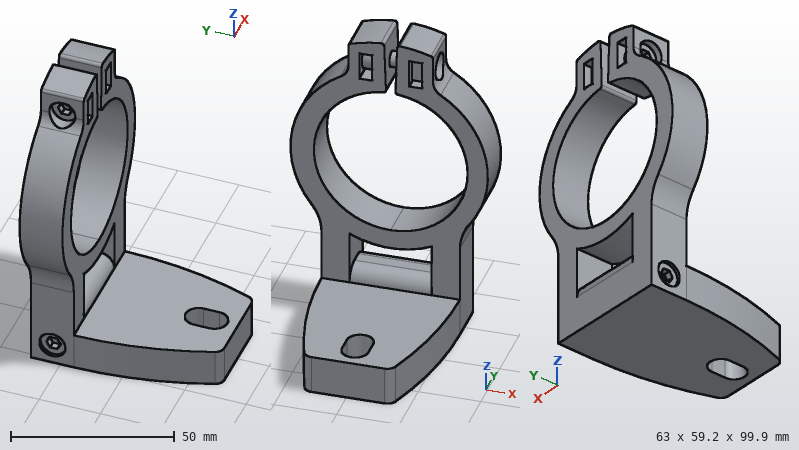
import cadquery as cq
import math


ring_depth = 14.0
ring_center_z = 58.0
bore_radius = 24.5
left_ring_radius = 32.0
right_ring_radius = 31.0

arm_half_width = 13.5
arm_top_radius = 42.0
arm_root_fillet = 5.0
arm_outer_fillet = 1.0
gap_corner_fillet = 1.0
gap_half_width = 1.75
gap_side_slope = math.tan(math.radians(2))

leg_half_span = 22.1
window_half_width = 13.1
leg_root_fillet = 15.0
knuckle_height = 17.5
plate_thickness = 12.5

plate_length = 45.21
plate_side_radius = 127.0
plate_corner_fillet = 3.0
slot_width = 8.4
slot_length = 13.6
slot_center_y = -35.0

screw_y = ring_depth / 2
clamp_screw_z = 90.5
hinge_screw_z = 6.75
screw_diameter = 5.0
head_diameter = 8.5
clamp_recess_depth = 2.5
hinge_recess_depth = 1.1
socket_across_flats = 4.0
socket_depth = 2.5

pocket_height = 9.0
pocket_inner_x = 5.9
pocket_outer_x = 10.0
pocket_width = pocket_outer_x - pocket_inner_x
pocket_center_x = (pocket_inner_x + pocket_outer_x) / 2
nut_size = 8.0


def ring_point(radius, angle):
    """Point (x, z) on a circle about the ring axis; the angle is in radians from +X."""
    return (radius * math.cos(angle), ring_center_z + radius * math.sin(angle))


def circle_height(radius, x):
    """Distance above the ring axis of a circle about that axis at a given x."""
    return math.sqrt(radius**2 - x**2)


def root_fillet(ring_radius, wall_x, radius, up):
    """Points along a fillet from a vertical wall to the ring, and the angle where it meets the ring.

    The points are its wall end, its middle and its ring end.
    `up` is 1 for a wall above the ring axis and -1 for one below it.
    """
    center_x = wall_x + radius
    rise = up * circle_height(ring_radius + radius, center_x)
    angle = math.atan2(rise, center_x)
    to_middle = math.pi + angle / 2
    center_z = ring_center_z + rise
    wall_end = (wall_x, center_z)
    middle = (center_x + radius * math.cos(to_middle), center_z + radius * math.sin(to_middle))
    return wall_end, middle, ring_point(ring_radius, angle), angle


def gap_side_x(z):
    """Half width of the clamping gap, which widens upwards."""
    return gap_half_width + gap_side_slope * (z - clamp_screw_z)


def clamp_half(ring_radius):
    """The +X half of the ring with its arm and leg."""
    gap_top_x = gap_side_x(ring_center_z + arm_top_radius)
    gap_top = (gap_top_x, ring_center_z + circle_height(arm_top_radius, gap_top_x))
    gap_bottom_x = gap_side_x(ring_center_z + bore_radius)
    gap_bottom = (gap_bottom_x, ring_center_z + circle_height(bore_radius, gap_bottom_x))

    arm_middle_x = arm_half_width / 2
    arm_top_middle = (arm_middle_x, ring_center_z + circle_height(arm_top_radius, arm_middle_x))
    arm_top_end = (arm_half_width, ring_center_z + circle_height(arm_top_radius, arm_half_width))

    arm_wall, arm_mid, arm_ring, arm_angle = root_fillet(ring_radius, arm_half_width, arm_root_fillet, 1)
    leg_wall, leg_mid, leg_ring, leg_angle = root_fillet(ring_radius, leg_half_span, leg_root_fillet, -1)
    ring_middle = ring_point(ring_radius, (arm_angle + leg_angle) / 2)

    window_top = (window_half_width, ring_center_z - circle_height(right_ring_radius, window_half_width))
    window_arc_x = window_half_width / 2
    window_arc = (window_arc_x, ring_center_z - circle_height(right_ring_radius, window_arc_x))

    half = (
        cq.Workplane("XZ")
        .moveTo(*gap_top)
        .threePointArc(arm_top_middle, arm_top_end)
        .lineTo(*arm_wall)
        .threePointArc(arm_mid, arm_ring)
        .threePointArc(ring_middle, leg_ring)
        .threePointArc(leg_mid, leg_wall)
        .lineTo(leg_half_span, 0)
        .lineTo(window_half_width, 0)
        .lineTo(*window_top)
        .threePointArc(window_arc, (0, ring_center_z - right_ring_radius))
        .lineTo(0, ring_center_z - bore_radius)
        .threePointArc((bore_radius, ring_center_z), gap_bottom)
        .close()
        .extrude(-ring_depth)
    )
    half = round_depth_edge(half, arm_top_end, arm_outer_fillet)
    half = round_depth_edge(half, gap_top, gap_corner_fillet)
    return round_depth_edge(half, gap_bottom, gap_corner_fillet)


def round_depth_edge(body, corner, radius):
    """Fillet the edge along Y that passes through the (x, z) corner."""
    nearest = cq.selectors.NearestToPointSelector((corner[0], ring_depth / 2, corner[1]))
    return body.edges("|Y").edges(nearest).fillet(radius)


def knuckle():
    """Block that fills the lower part of the window, with rounded upper edges."""
    return (
        cq.Workplane("XY")
        .box(2 * window_half_width, ring_depth, knuckle_height, centered=(True, False, False))
        .edges("|X and >Z")
        .fillet(knuckle_height - plate_thickness)
    )


def plate_half_width(y):
    """Half width of the plate, whose sides start tangent to the legs and curve inwards."""
    return leg_half_span - plate_side_radius + math.sqrt(plate_side_radius**2 - y**2)


def mounting_plate():
    end_x = plate_half_width(plate_length)
    middle_y = -plate_length / 2
    middle_x = plate_half_width(middle_y)
    plate = (
        cq.Workplane("XY")
        .moveTo(-leg_half_span, 0)
        .threePointArc((-middle_x, middle_y), (-end_x, -plate_length))
        .lineTo(end_x, -plate_length)
        .threePointArc((middle_x, middle_y), (leg_half_span, 0))
        .close()
        .extrude(plate_thickness)
        .edges("|Z and <Y")
        .fillet(plate_corner_fillet)
    )
    slot = (
        cq.Workplane("XY")
        .center(0, slot_center_y)
        .slot2D(slot_length, slot_width, 90)
        .extrude(plate_thickness)
    )
    return plate.cut(slot)


def rod(diameter, start_x, end_x, z):
    """Cylinder parallel to X on a screw axis."""
    return (
        cq.Workplane("YZ", origin=(start_x, screw_y, z))
        .circle(diameter / 2)
        .extrude(end_x - start_x)
    )


def hex_socket(face_x, z):
    """Hexagon sunk into a screw head that faces -X, with two flats level."""
    across_corners = socket_across_flats / math.cos(math.pi / 6)
    return (
        cq.Workplane("YZ", origin=(face_x, screw_y, z))
        .polygon(6, across_corners)
        .extrude(socket_depth)
    )


def arm_pocket(center_x):
    """Slot through an arm along Y."""
    return cq.Workplane("XY").box(pocket_width, ring_depth, pocket_height).translate(
        (center_x, screw_y, clamp_screw_z)
    )


def add_clamp_screw(body):
    """Cut a recess and a slot in each arm, then add the screw and its square nut."""
    recess_floor_x = arm_half_width - clamp_recess_depth
    beyond_arm_x = leg_half_span
    for side in (-1, 1):
        body = body.cut(arm_pocket(side * pocket_center_x))
        body = body.cut(rod(head_diameter, side * recess_floor_x, side * beyond_arm_x, clamp_screw_z))
    nut = cq.Workplane("XY").box(pocket_width, nut_size, nut_size).translate(
        (pocket_center_x, screw_y, clamp_screw_z)
    )
    body = body.union(nut)
    body = body.union(rod(head_diameter, -recess_floor_x, -pocket_inner_x, clamp_screw_z))
    body = body.union(rod(screw_diameter, -pocket_inner_x, pocket_outer_x, clamp_screw_z))
    return body.cut(hex_socket(-recess_floor_x, clamp_screw_z))


def cut_hinge_screw(body):
    """Sink the hinge screw head into the outside of the left leg."""
    head_face_x = hinge_recess_depth - leg_half_span
    body = body.cut(rod(head_diameter, -leg_half_span, head_face_x, hinge_screw_z))
    return body.cut(hex_socket(head_face_x, hinge_screw_z))


mid_depth_axis = ((0, ring_depth / 2, 0), (0, ring_depth / 2, 1))
left_half = clamp_half(left_ring_radius).rotate(*mid_depth_axis, 180)
right_half = clamp_half(right_ring_radius)
bracket = left_half.union(right_half).union(knuckle()).union(mounting_plate())
result = cut_hinge_screw(add_clamp_screw(bracket))